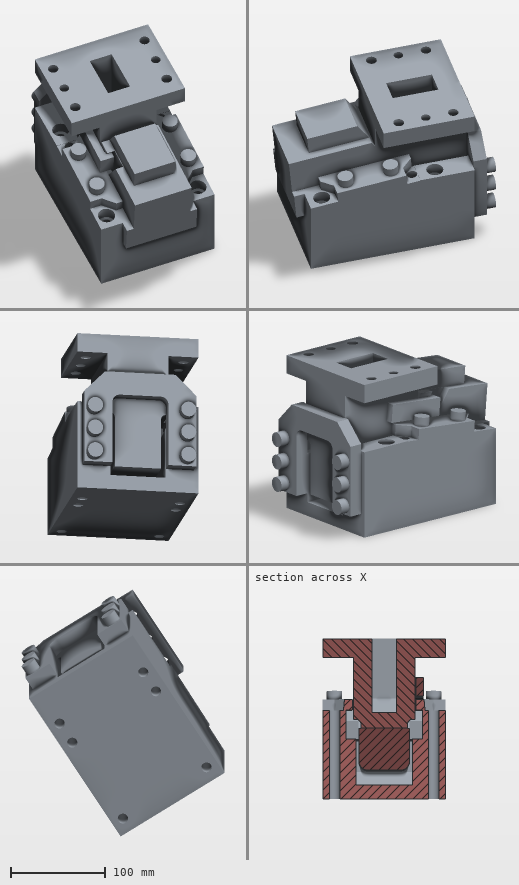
import cadquery as cq
import math

TOTAL_LENGTH = 220.4
BLOCK_LENGTH = 180.0
WIDTH = 130.0
TOTAL_HEIGHT = 170.0
FRONT_TOP = 95.0
FRONT_TOP_LENGTH = 59.7
CLEARANCE = 0.7
ROW_Y = 52.5

TILT = math.radians(5)
LAND_CENTRE_X = 113.0
LAND_CENTRE_Z = 101.8
LAND_HEIGHT = 12.0
LAND_HALF_LENGTH = 50.0
LAND_CORNER = 12.0
LAND_NECK_HALF = 40.3
STUD_DIAMETER = 16.3
STUD_HEIGHT = 10.0
STUD_SPACING = 49.8

FLANGE_THICKNESS = 14.8
FLANGE_WIDTH = 119.9
FLANGE_BOTTOM = 25.1
FLANGE_TOP = 125.0
FLANGE_CHAMFER = 22.0
WINDOW_WIDTH = 60.0
WINDOW_TOP = 100.0
WINDOW_RADIUS = 8.2
BOLT_DIAMETER = 16.0
BOLT_ROW_Y = 50.0
BOLTS_PER_ROW = 3
BOLT_PITCH = 25.0
LOWEST_BOLT_Z = 35.0

CAVITY_WIDTH = 59.5
CAVITY_FLOOR = 15.5
CAVITY_END = -11.0
CAVITY_CHAMFER_HEIGHT = 13.2
MOUNT_HOLE_DIAMETER = 10.8
COUNTERBORE_DIAMETER = 18.0
COUNTERBORE_DEPTH = 12.0
MOUNT_HOLE_X = (40.3, 164.6)
SMALL_HOLE_X = 65.2

CAP_LENGTH = 100.0
CAP_THICKNESS = 20.3
WEB_WIDTH = 65.0
WEB_BOTTOM = 84.5
CORE_WIDTH = 49.8
CORE_BOTTOM = 25.1
CORE_LENGTH = 50.0
CORE_FILLET = 4.8
POCKET_START = 25.0
POCKET_END = 75.1
POCKET_WIDTH = 25.1
POCKET_FLOOR = 60.0
POCKET_FLOOR_END = 42.8
CAP_HOLES = ((20.0, 11.0), (50.2, 10.1), (80.0, 11.5))

LID_WIDTH = 65.0
LID_END = 79.8
LID_TOP = 28.0
LID_FRONT_LEAN = math.radians(30)
BOX_TOP = 48.0
BOX_LENGTH = 55.0
BOX_WIDTH = 46.7
RAIL_WIDTH = 2 * LAND_NECK_HALF
RAIL_DEPTH = 30.0
RAIL_FRONT_X = 70.0
RAIL_BOTTOM = -LAND_HEIGHT - RAIL_DEPTH
PLUG_WIDTH = 54.0
PLUG_FRONT = -55.0
PLUG_END = -26.5
PLUG_BOTTOM = -75.1
PLUG_RADIUS = 9.7
NOTCH_START = 15.9
NOTCH_LENGTH = 23.0
NOTCH_INNER_Y = -24.0
LATCH_START = -57.0
LATCH_END = 8.2
LATCH_BOTTOM = 3.0
LATCH_TOP = 23.1
LATCH_OUTER_Y = -41.7
LATCH_LIP_LENGTH = 10.0
LATCH_LIP_Y = -26.2

SLOT_WIDTH = WEB_WIDTH + 2 * CLEARANCE


def box(x_range, y_range, z_range):
    """Axis-aligned box between pairs of limits."""
    size = [high - low for low, high in (x_range, y_range, z_range)]
    corner = (x_range[0], y_range[0], z_range[0])
    return cq.Workplane("XY").box(*size, centered=False).translate(corner)


def side_prism(points, width):
    """XZ outline extruded evenly to both sides of Y = 0."""
    return cq.Workplane("XZ").polyline(points).close().extrude(width / 2, both=True)


def tilted(shape):
    """Move a shape drawn about the land centre into its tilted place."""
    turned = shape.rotate((0, 0, 0), (0, 1, 0), math.degrees(TILT))
    return turned.translate((LAND_CENTRE_X, 0, LAND_CENTRE_Z))


def tilted_point(along, height):
    """XZ place of a point given along the slope and above the land."""
    x = LAND_CENTRE_X + along * math.cos(TILT) + height * math.sin(TILT)
    z = LAND_CENTRE_Z - along * math.sin(TILT) + height * math.cos(TILT)
    return x, z


def tilted_level(x, height):
    """Z at a given X on a plane parallel to the land."""
    return LAND_CENTRE_Z - (x - LAND_CENTRE_X) * math.tan(TILT) + height / math.cos(TILT)


def lid_front(height):
    """Place along the slope of the lid's sloped front at a height above the land."""
    return -(BOX_TOP - height) * math.tan(LID_FRONT_LEAN)


def lid_front_level(x):
    """Z of the lid's sloped front at a given X."""
    top_x, top_z = tilted_point(lid_front(BOX_TOP), BOX_TOP)
    return top_z - (top_x - x) / math.tan(LID_FRONT_LEAN + TILT)


def make_land():
    corner_x = LAND_HALF_LENGTH - LAND_CORNER
    corner_y = LAND_NECK_HALF + LAND_CORNER
    quarter = [(LAND_HALF_LENGTH, LAND_NECK_HALF), (corner_x, corner_y), (corner_x, WIDTH / 2)]
    outline = quarter + [(-x, y) for x, y in reversed(quarter)]
    outline += [(-x, -y) for x, y in quarter] + [(x, -y) for x, y in reversed(quarter)]
    land = cq.Workplane("XY").polyline(outline).close().extrude(-LAND_HEIGHT)
    studs = (
        cq.Workplane("XY")
        .rect(STUD_SPACING, 2 * ROW_Y, forConstruction=True)
        .vertices()
        .circle(STUD_DIAMETER / 2)
        .extrude(STUD_HEIGHT)
    )
    return tilted(land.union(studs))


def make_block():
    outline = [
        (0, 0),
        (BLOCK_LENGTH, 0),
        (BLOCK_LENGTH, tilted_level(BLOCK_LENGTH, -LAND_HEIGHT)),
        (FRONT_TOP_LENGTH, tilted_level(FRONT_TOP_LENGTH, -LAND_HEIGHT)),
        (FRONT_TOP_LENGTH, FRONT_TOP),
        (0, FRONT_TOP),
    ]
    return side_prism(outline, WIDTH).union(make_land())


def make_flange():
    half = FLANGE_WIDTH / 2
    outline = [
        (-half, FLANGE_BOTTOM),
        (half, FLANGE_BOTTOM),
        (half, FLANGE_TOP - FLANGE_CHAMFER),
        (half - FLANGE_CHAMFER, FLANGE_TOP),
        (FLANGE_CHAMFER - half, FLANGE_TOP),
        (-half, FLANGE_TOP - FLANGE_CHAMFER),
    ]
    plate = cq.Workplane("YZ").polyline(outline).close().extrude(-FLANGE_THICKNESS)
    window = box(
        (-FLANGE_THICKNESS, 0), (-WINDOW_WIDTH / 2, WINDOW_WIDTH / 2), (0, WINDOW_TOP)
    ).edges("|X and >Z").fillet(WINDOW_RADIUS)
    web_relief = box((-CLEARANCE, 0), (-SLOT_WIDTH / 2, SLOT_WIDTH / 2), (WEB_BOTTOM, FLANGE_TOP))
    centres = [
        (side * BOLT_ROW_Y, LOWEST_BOLT_Z + row * BOLT_PITCH)
        for side in (-1, 1)
        for row in range(BOLTS_PER_ROW)
    ]
    lid_reach, _ = tilted_point(LID_END, LID_TOP)
    bolt_length = TOTAL_LENGTH - FLANGE_THICKNESS - lid_reach
    bolts = (
        cq.Workplane("YZ", origin=(-FLANGE_THICKNESS, 0, 0))
        .pushPoints(centres)
        .circle(BOLT_DIAMETER / 2)
        .extrude(-bolt_length)
    )
    return plate.cut(window).cut(web_relief).union(bolts)


def make_guideway():
    """Stepped slot for the carriage web, the lid and the lid's rails."""
    slot = side_prism(
        [
            (0, tilted_level(0, RAIL_BOTTOM)),
            (BLOCK_LENGTH, tilted_level(BLOCK_LENGTH, RAIL_BOTTOM)),
            (BLOCK_LENGTH, TOTAL_HEIGHT),
            (0, TOTAL_HEIGHT),
        ],
        SLOT_WIDTH,
    )
    rail_slot = side_prism(
        [
            (0, tilted_level(0, RAIL_BOTTOM)),
            (BLOCK_LENGTH, tilted_level(BLOCK_LENGTH, RAIL_BOTTOM)),
            (BLOCK_LENGTH, tilted_level(BLOCK_LENGTH, -LAND_HEIGHT)),
            (FRONT_TOP_LENGTH, tilted_level(FRONT_TOP_LENGTH, -LAND_HEIGHT)),
            (FRONT_TOP_LENGTH, FRONT_TOP),
            (0, FRONT_TOP),
        ],
        RAIL_WIDTH,
    )
    return slot.union(rail_slot)


def make_cavity():
    """Lower cavity for the carriage core and the lid plug, with a sloped foot at its end."""
    wall_top = tilted_point(CAVITY_END, RAIL_BOTTOM)
    foot_top_z = CAVITY_FLOOR + CAVITY_CHAMFER_HEIGHT
    foot_top_x = wall_top[0] - (wall_top[1] - foot_top_z) * math.tan(TILT)
    foot_lean = math.radians(45) - TILT
    foot_x = foot_top_x - CAVITY_CHAMFER_HEIGHT * math.tan(foot_lean)
    outline = [
        (0, CAVITY_FLOOR),
        (foot_x, CAVITY_FLOOR),
        (foot_top_x, foot_top_z),
        wall_top,
        (0, tilted_level(0, RAIL_BOTTOM)),
    ]
    return side_prism(outline, CAVITY_WIDTH)


def make_mount_holes():
    """Counterbored holes near both ends, plus the plain holes in front of the land."""
    small_holes = cq.Workplane("XY").pushPoints([(SMALL_HOLE_X, y) for y in (-ROW_Y, ROW_Y)])
    holes = small_holes.circle(MOUNT_HOLE_DIAMETER / 2).extrude(FRONT_TOP)
    for x in MOUNT_HOLE_X:
        seat_z = min(FRONT_TOP, tilted_level(x, -LAND_HEIGHT)) - COUNTERBORE_DEPTH
        centres = [(x, -ROW_Y), (x, ROW_Y)]
        shafts = cq.Workplane("XY").pushPoints(centres).circle(MOUNT_HOLE_DIAMETER / 2)
        seats = cq.Workplane("XY", origin=(0, 0, seat_z)).pushPoints(centres)
        holes = holes.union(shafts.extrude(FRONT_TOP))
        holes = holes.union(seats.circle(COUNTERBORE_DIAMETER / 2).extrude(2 * COUNTERBORE_DEPTH))
    return holes


def make_housing():
    body = make_block().cut(make_guideway()).cut(make_cavity())
    return body.cut(make_mount_holes()).union(make_flange())


def make_core_section():
    """T-shaped cross-section of web and core, extruded along X."""
    web_half = WEB_WIDTH / 2
    core_half = CORE_WIDTH / 2
    cap_bottom = TOTAL_HEIGHT - CAP_THICKNESS
    return (
        cq.Workplane("YZ")
        .moveTo(-core_half, CORE_BOTTOM)
        .lineTo(core_half, CORE_BOTTOM)
        .lineTo(core_half, WEB_BOTTOM - CORE_FILLET)
        .radiusArc((core_half + CORE_FILLET, WEB_BOTTOM), CORE_FILLET)
        .lineTo(web_half, WEB_BOTTOM)
        .lineTo(web_half, cap_bottom)
        .lineTo(-web_half, cap_bottom)
        .lineTo(-web_half, WEB_BOTTOM)
        .lineTo(-core_half - CORE_FILLET, WEB_BOTTOM)
        .radiusArc((-core_half, WEB_BOTTOM - CORE_FILLET), CORE_FILLET)
        .close()
        .extrude(CAP_LENGTH)
    )


def make_carriage():
    cap = box(
        (0, CAP_LENGTH), (-WIDTH / 2, WIDTH / 2), (TOTAL_HEIGHT - CAP_THICKNESS, TOTAL_HEIGHT)
    )
    core_profile = side_prism(
        [
            (0, 0),
            (CORE_LENGTH, 0),
            (CORE_LENGTH, lid_front_level(CORE_LENGTH)),
            (CAP_LENGTH, lid_front_level(CAP_LENGTH)),
            (CAP_LENGTH, TOTAL_HEIGHT),
            (0, TOTAL_HEIGHT),
        ],
        WIDTH,
    )
    pocket_rise = (POCKET_END - POCKET_FLOOR_END) / math.tan(LID_FRONT_LEAN + TILT)
    pocket = side_prism(
        [
            (POCKET_START, POCKET_FLOOR),
            (POCKET_FLOOR_END, POCKET_FLOOR),
            (POCKET_END, POCKET_FLOOR + pocket_rise),
            (POCKET_END, TOTAL_HEIGHT),
            (POCKET_START, TOTAL_HEIGHT),
        ],
        POCKET_WIDTH,
    )
    body = make_core_section().intersect(core_profile).union(cap).cut(pocket)
    for x, diameter in CAP_HOLES:
        centres = [(x, -ROW_Y), (x, ROW_Y)]
        drill = cq.Workplane("XY", origin=(0, 0, TOTAL_HEIGHT)).pushPoints(centres)
        body = body.cut(drill.circle(diameter / 2).extrude(-CAP_THICKNESS))
    return body


def sloped_section(bottom, top, end, width):
    """Length of the lid between two heights, starting at its sloped front."""
    outline = [(lid_front(bottom), bottom), (end, bottom), (end, top), (lid_front(top), top)]
    return side_prism(outline, width)


def make_plug():
    """Tongue under the lid that hangs in the cavity, with rounded lower corners."""
    kink = BOX_TOP + PLUG_FRONT / math.tan(LID_FRONT_LEAN)
    outline = [
        (PLUG_FRONT, PLUG_BOTTOM),
        (PLUG_END, PLUG_BOTTOM),
        (PLUG_END, -LAND_HEIGHT),
        (lid_front(-LAND_HEIGHT), -LAND_HEIGHT),
        (PLUG_FRONT, kink),
    ]
    plug = side_prism(outline, PLUG_WIDTH)
    return tilted(plug.edges("|X and <Z").fillet(PLUG_RADIUS))


def make_latch():
    """Bar along the -Y side whose lip hooks into the lid's notch."""
    inner_y = -SLOT_WIDTH / 2
    bar = box((LATCH_START, LATCH_END), (LATCH_OUTER_Y, inner_y), (LATCH_BOTTOM, LATCH_TOP))
    lip_start = LATCH_END - LATCH_LIP_LENGTH
    lip = box((lip_start, LATCH_END), (inner_y, LATCH_LIP_Y), (LATCH_BOTTOM, LATCH_TOP))
    return bar.union(lip)


def make_lid():
    rails = sloped_section(RAIL_BOTTOM, -LAND_HEIGHT, LID_END, RAIL_WIDTH)
    cover = sloped_section(-LAND_HEIGHT, LID_TOP, LID_END, LID_WIDTH)
    lid_box = sloped_section(LID_TOP, BOX_TOP, BOX_LENGTH, BOX_WIDTH)
    notch = side_prism(
        [
            (lid_front(-LAND_HEIGHT) + NOTCH_START, -LAND_HEIGHT),
            (lid_front(-LAND_HEIGHT) + NOTCH_START + NOTCH_LENGTH, -LAND_HEIGHT),
            (lid_front(LID_TOP) + NOTCH_START + NOTCH_LENGTH, LID_TOP),
            (lid_front(LID_TOP) + NOTCH_START, LID_TOP),
        ],
        LID_WIDTH,
    ).intersect(box((-LID_END, LID_END), (-LID_WIDTH, NOTCH_INNER_Y), (-LAND_HEIGHT, LID_TOP)))
    upper = tilted(rails.union(cover.cut(notch)).union(lid_box).union(make_latch()))
    rail_trim = box((0, RAIL_FRONT_X), (-WIDTH / 2, WIDTH / 2), (0, lid_front_level(RAIL_FRONT_X)))
    return upper.cut(rail_trim).union(make_plug())


housing = make_housing()
carriage = make_carriage()
lid = make_lid()

result = cq.Compound.makeCompound([body.solids().val() for body in (housing, carriage, lid)])